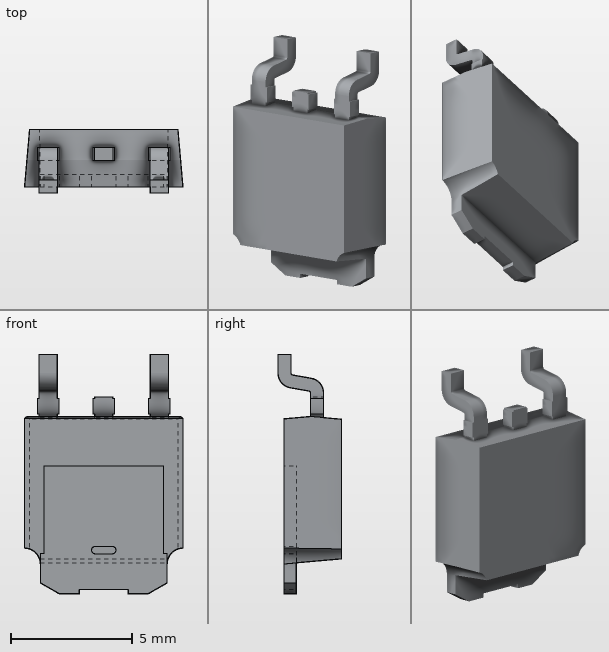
import cadquery as cq
import math


housing_width = 6.54
housing_depth = 2.38
housing_bottom_z = 1.235
ridge_y = 1.1
ridge_z = 7.32
draft_angle = math.radians(5)
draft_slope = math.tan(draft_angle)

tab_thickness = 0.51
tab_top_z = 5.29
tab_shoulder_z = 1.66
tab_upper_half_width = 2.46
tab_lower_half_width = 2.62
tab_foot_half_width = 1.83
tab_chamfer_height = 0.45
notch_half_width = 1.01
notch_depth = 0.18
slot_length = 1.01
slot_width = 0.31
slot_z = 1.81

scoop_radius = housing_width / 2 - tab_lower_half_width
scoop_z = housing_bottom_z

lead_pitch = 4.58
lead_width = 0.76
lead_thickness = 0.54
lead_front_y = ridge_y
lead_back_y = lead_front_y + lead_thickness
lead_top_z = 9.88
foot_front_y = -0.25
foot_back_y = foot_front_y + lead_thickness
collar_width = 0.9
collar_bottom_z = 7.42
collar_top_z = 8.06
stub_top_z = 8.12

link_angle = math.radians(10)
inner_bend_radius = 0.08
outer_bend_radius = inner_bend_radius + lead_thickness
upper_bend_y = foot_front_y + outer_bend_radius
upper_bend_z = 9.11
lower_bend_y = lead_back_y - outer_bend_radius
bend_spacing_y = lower_bend_y - upper_bend_y
tangent_distance = outer_bend_radius + inner_bend_radius
bend_spacing_z = (tangent_distance + bend_spacing_y * math.sin(link_angle)) / math.cos(link_angle)
lower_bend_z = upper_bend_z - bend_spacing_z


def end_face_z(y):
    """Height of the housing's ridged upper end at depth y."""
    return ridge_z - draft_slope * abs(y - ridge_y)


def make_housing(tab):
    half_width = housing_width / 2
    back_half_width = half_width - housing_depth * draft_slope
    back_bottom_z = housing_bottom_z + housing_depth * draft_slope

    body = (
        cq.Workplane("YZ")
        .polyline([
            (0, housing_bottom_z),
            (0, end_face_z(0)),
            (ridge_y, ridge_z),
            (housing_depth, end_face_z(housing_depth)),
            (housing_depth, back_bottom_z),
        ])
        .close()
        .extrude(half_width, both=True)
    )
    plan = (
        cq.Workplane("XY")
        .polyline([
            (-half_width, 0),
            (half_width, 0),
            (back_half_width, housing_depth),
            (-back_half_width, housing_depth),
        ])
        .close()
        .extrude(ridge_z)
    )
    scoops = (
        cq.Workplane("XZ")
        .pushPoints([(-half_width, scoop_z), (half_width, scoop_z)])
        .circle(scoop_radius)
        .extrude(-housing_depth)
    )
    return body.intersect(plan).cut(scoops).cut(tab)


def make_tab():
    right_side = [
        (notch_half_width, notch_depth),
        (notch_half_width, 0),
        (tab_foot_half_width, 0),
        (tab_lower_half_width, tab_chamfer_height),
        (tab_lower_half_width, tab_shoulder_z),
        (tab_upper_half_width, tab_shoulder_z),
        (tab_upper_half_width, tab_top_z),
    ]
    left_side = [(-x, z) for x, z in reversed(right_side)]
    plate = cq.Workplane("XZ").polyline(right_side + left_side).close().extrude(-tab_thickness)
    slot = (
        cq.Workplane("XZ")
        .center(0, slot_z)
        .slot2D(slot_length, slot_width)
        .extrude(-tab_thickness)
    )
    return plate.cut(slot)


def make_collar():
    return (
        cq.Workplane("XY", origin=(0, lead_front_y, collar_bottom_z))
        .box(
            collar_width,
            lead_thickness,
            collar_top_z - collar_bottom_z,
            centered=(True, False, False),
        )
    )


def make_stub():
    """Short straight lead whose lower end lies on the housing's upper end."""
    blade = (
        cq.Workplane("YZ")
        .polyline([
            (lead_front_y, end_face_z(lead_front_y)),
            (lead_front_y, stub_top_z),
            (lead_back_y, stub_top_z),
            (lead_back_y, end_face_z(lead_back_y)),
        ])
        .close()
        .extrude(lead_width / 2, both=True)
    )
    return blade.union(make_collar())


def upper_bend_point(radius, turn):
    """Point on the bend below the foot, turned from the upright towards the link."""
    return (upper_bend_y - radius * math.cos(turn), upper_bend_z - radius * math.sin(turn))


def lower_bend_point(radius, turn):
    """Point on the bend above the collar, turned from the upright towards the link."""
    return (lower_bend_y + radius * math.cos(turn), lower_bend_z + radius * math.sin(turn))


def make_lead(x):
    """Bent lead centred on x, its lower end lying on the housing's upper end."""
    full_turn = math.pi / 2 - link_angle
    half_turn = full_turn / 2
    blade = (
        cq.Workplane("YZ")
        .moveTo(lead_front_y, end_face_z(lead_front_y))
        .lineTo(*lower_bend_point(inner_bend_radius, 0))
        .threePointArc(
            lower_bend_point(inner_bend_radius, half_turn),
            lower_bend_point(inner_bend_radius, full_turn),
        )
        .lineTo(*upper_bend_point(outer_bend_radius, full_turn))
        .threePointArc(
            upper_bend_point(outer_bend_radius, half_turn),
            upper_bend_point(outer_bend_radius, 0),
        )
        .lineTo(foot_front_y, lead_top_z)
        .lineTo(foot_back_y, lead_top_z)
        .lineTo(*upper_bend_point(inner_bend_radius, 0))
        .threePointArc(
            upper_bend_point(inner_bend_radius, half_turn),
            upper_bend_point(inner_bend_radius, full_turn),
        )
        .lineTo(*lower_bend_point(outer_bend_radius, full_turn))
        .threePointArc(
            lower_bend_point(outer_bend_radius, half_turn),
            lower_bend_point(outer_bend_radius, 0),
        )
        .lineTo(lead_back_y, end_face_z(lead_back_y))
        .close()
        .extrude(lead_width / 2, both=True)
    )
    return blade.union(make_collar()).translate((x, 0, 0))


tab = make_tab()
housing = make_housing(tab)
stub = make_stub()
leads = [make_lead(side * lead_pitch / 2) for side in (-1, 1)]

bodies = [housing, tab, stub, *leads]
result = cq.Compound.makeCompound([body.solids().val() for body in bodies])